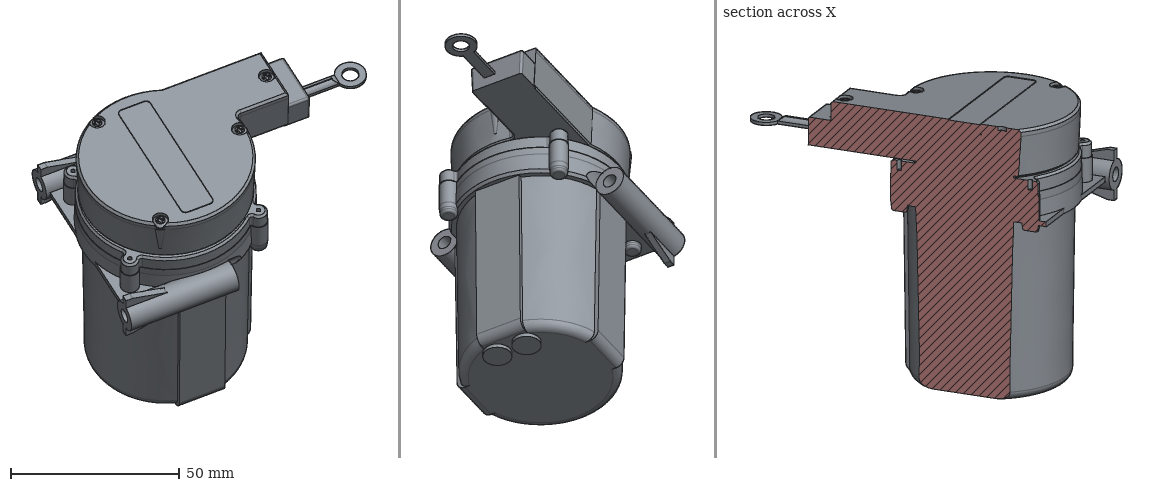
import cadquery as cq
import math


foot_height = 1.27
flange_bottom = 58.0
plate_thickness = 1.65
tube_axis_z = 59.0
flange_step_z = 64.7
cover_bottom = 67.3
cover_top = 71.95
housing_bottom = 72.45
lid_bottom = 85.4
housing_top = 87.45

can_top_radius = 50.09 / 2
can_bottom_radius = 24.3
can_fillet = 2.8
pad_half_width = 7.55
pad_proud = 0.1
foot_diameter = 8.71
foot_x = 5.05
foot_y = 16.6

flange_bottom_radius = 27.3
flange_radius = 27.05
flange_chamfer_height = 0.95
flange_chamfer_width = 0.8
cover_radius = 26.9
cover_chamfer = 0.7
boss_x = 19.05
boss_reach = 28.575
boss_y = math.sqrt(boss_reach**2 - boss_x**2)
boss_points = [(x, y) for x in (-boss_x, boss_x) for y in (-boss_y, boss_y)]
boss_radius = 5.77 / 2
boss_tip_z = 55.8
boss_tip_shoulder_z = 57.4
boss_tip_radius = 5.38 / 2
boss_tip_end_radius = 2.55
boss_tip_fillet = 0.9
boss_cover_radius = 5.38 / 2
boss_blend = 0.8
boss_hole_diameter = 1.27
boss_hole_depth = 3.0

tube_diameter = 9.53
tube_hole_diameter = 4.32
tube_spacing = 66.67 - tube_diameter
tube_front_y = -27.8
tube_length = 35.65
clearance_length = 8.0
plate_front_y = -26.5
gusset_thickness = 2.1
gusset_height = 15.9
gusset_flat_length = 2.2
gusset_length = 14.6
gusset_sink = 0.35

housing_radius = 26.65
housing_bottom_radius = 26.05
housing_top_chamfer = 0.75
housing_bottom_chamfer = 0.45
neck_radius = 25.0
duct_left_x = -24.4
duct_right_x = -5.85
duct_end_y = 43.65
duct_corner_radius = 1.5
corner_search = 2.0
outlet_inset = 0.1
outlet_overlap = 1.0
outlet_end_y = 50.95
outlet_top = 81.4
outlet_fillet = 0.7
latch_width = 3.0
latch_length = 1.35
latch_depth = 0.6
label_length = 44.5
label_width = 10.4
label_corner_radius = 1.5
label_depth = 0.25

screw_circle_radius = 24.49
screw_angles = (90, 210, 330)
duct_screw_x = -15.05
duct_screw_y = 40.85
counterbore_diameter = 4.78
counterbore_depth = 1.7
head_radius = counterbore_diameter / 2
head_rim_height = 0.5
head_height = 1.2
head_top_radius = 2.85 / 2
cross_length = 2.26
cross_width = 0.79
cross_depth = 0.6
screw_boss_radius = 2.57
screw_boss_bottom_radius = 1.76
screw_boss_bottom_z = 76.0

lug_x = -12.72
lug_bottom = 75.75
lug_thickness = 1.0
lug_outer_diameter = 9.53
lug_hole_diameter = 5.08
lug_tip_y = tube_front_y + 100.01
lug_y = lug_tip_y - lug_outer_diameter / 2
barrel_width = 3.65
barrel_height = 2.25
barrel_slope_length = 1.8
seam_width = 0.2
seam_depth = 0.2


def cylinder(radius, bottom, top, x=0.0, y=0.0):
    return cq.Workplane("XY", origin=(x, y, bottom)).circle(radius).extrude(top - bottom)


def cone(bottom_radius, top_radius, bottom, top, x=0.0, y=0.0):
    solid = cq.Solid.makeCone(bottom_radius, top_radius, top - bottom, cq.Vector(x, y, bottom))
    return cq.Workplane(solid)


def block(x_range, y_range, z_range):
    size = [high - low for low, high in (x_range, y_range, z_range)]
    corner = (x_range[0], y_range[0], z_range[0])
    return cq.Workplane("XY", origin=corner).box(*size, centered=False)


def can_half_profile(plane, grow=0.0):
    """Half section of the drafted can, from the axis out to the wall, with a rounded bottom corner."""
    bottom_radius = can_bottom_radius + grow
    arc_center_z = foot_height + can_fillet
    diagonal = can_fillet * math.sqrt(0.5)
    arc_middle = (bottom_radius - can_fillet + diagonal, arc_center_z - diagonal)
    return (
        cq.Workplane(plane)
        .moveTo(0, foot_height)
        .lineTo(bottom_radius - can_fillet, foot_height)
        .threePointArc(arc_middle, (bottom_radius, arc_center_z))
        .lineTo(can_top_radius + grow, flange_bottom)
        .lineTo(0, flange_bottom)
        .close()
    )


def make_can():
    can = can_half_profile("XZ").revolve(360, (0, 0, 0), (0, 1, 0))
    pad = can_half_profile("XZ", pad_proud).extrude(pad_half_width, both=True)
    for angle in (0, 90, 180):
        can = can.union(pad.rotate((0, 0, 0), (0, 0, 1), angle))
    for x in (-foot_x, foot_x):
        can = can.union(cylinder(foot_diameter / 2, 0, foot_height, x, foot_y))
    return can


def make_flange():
    """Drafted flange whose lower edge is chamfered on the rear half and square on the front half."""
    chamfer_top = flange_bottom + flange_chamfer_height
    chamfer_radius = flange_bottom_radius - flange_chamfer_width
    flange = cone(flange_bottom_radius, flange_radius, flange_bottom, flange_step_z)
    rear_half = block(
        (-flange_bottom_radius, flange_bottom_radius),
        (0, flange_bottom_radius),
        (flange_bottom, chamfer_top),
    )
    chamfer_cone = cone(chamfer_radius, flange_bottom_radius, flange_bottom, chamfer_top)
    flange = flange.cut(rear_half.cut(chamfer_cone))
    flange = flange.union(cylinder(flange_radius, flange_step_z, cover_bottom))
    for x, y in boss_points:
        flange = flange.union(cylinder(boss_radius, chamfer_top, cover_bottom, x, y))
        shoulder = cone(boss_tip_radius, boss_radius, boss_tip_shoulder_z, chamfer_top, x, y)
        flange = flange.union(shoulder)
        tip = cone(boss_tip_end_radius, boss_tip_radius, boss_tip_z, boss_tip_shoulder_z, x, y)
        flange = flange.union(tip.faces("<Z").edges().fillet(boss_tip_fillet))
    return flange


def make_cover():
    """Round cover with four edge bosses blended into its wall and a chamfered upper rim."""
    cover = cylinder(cover_radius, cover_bottom, cover_top)
    for x, y in boss_points:
        cover = cover.union(cylinder(boss_cover_radius, cover_bottom, cover_top, x, y))
    cover = cover.edges("|Z").fillet(boss_blend)
    return cover.faces(">Z").edges().chamfer(cover_chamfer)


def cut_boss_holes(body):
    for x, y in boss_points:
        body = body.cut(cylinder(boss_hole_diameter / 2, cover_top - boss_hole_depth, cover_top, x, y))
    return body


def along_y(radius, x, start_y, length):
    axis_start = cq.Vector(x, start_y, tube_axis_z)
    return cq.Workplane(cq.Solid.makeCylinder(radius, length, axis_start, cq.Vector(0, 1, 0)))


def make_gusset(x):
    """Thin upright rib above and below the tube, tapering back into the tube wall."""
    half_height = gusset_height / 2
    flat_end_y = tube_front_y + gusset_flat_length
    back_y = tube_front_y + gusset_length
    back_half_height = tube_diameter / 2 - gusset_sink
    outline = [
        (tube_front_y, tube_axis_z + half_height),
        (flat_end_y, tube_axis_z + half_height),
        (back_y, tube_axis_z + back_half_height),
        (back_y, tube_axis_z - back_half_height),
        (flat_end_y, tube_axis_z - half_height),
        (tube_front_y, tube_axis_z - half_height),
    ]
    gusset = cq.Workplane("YZ", origin=(x, 0, 0)).polyline(outline).close()
    return gusset.extrude(gusset_thickness / 2, both=True)


def add_mount(body):
    tube_x = tube_spacing / 2
    plate_top = flange_bottom + plate_thickness
    body = body.union(block((-tube_x, tube_x), (plate_front_y, 0), (flange_bottom, plate_top)))
    for x in (-tube_x, tube_x):
        clearance = along_y(tube_diameter / 2, x, tube_front_y + tube_length, clearance_length)
        body = body.cut(clearance)
        body = body.union(along_y(tube_diameter / 2, x, tube_front_y, tube_length))
        body = body.union(make_gusset(x))
        body = body.cut(along_y(tube_hole_diameter / 2, x, tube_front_y, tube_length))
    return body


def duct_solid(inset, start_y, end_y, top):
    """Duct length whose side walls lean inward below the lid, with the same draft as the round wall."""
    left = duct_left_x + inset
    right = duct_right_x - inset
    draft = housing_radius - housing_bottom_radius
    outline = [(left + draft, housing_bottom), (left, lid_bottom), (left, housing_top)]
    outline += [(right, housing_top), (right, lid_bottom), (right - draft, housing_bottom)]
    duct = cq.Workplane("XZ", origin=(0, start_y, 0)).polyline(outline).close().extrude(start_y - end_y)
    return duct.intersect(block((left, right), (start_y, end_y), (housing_bottom, top)))


def make_housing():
    round_shell = cone(housing_bottom_radius, housing_radius, housing_bottom, lid_bottom)
    round_lid = cylinder(housing_radius, lid_bottom, housing_top)
    housing = round_shell.union(round_lid).union(duct_solid(0, 0, duct_end_y, housing_top))
    corner_y = math.sqrt(housing_radius**2 - duct_right_x**2)
    corner = cq.selectors.BoxSelector(
        (duct_right_x - corner_search, corner_y - corner_search, housing_bottom),
        (duct_right_x + corner_search, corner_y + corner_search, housing_top),
    )
    housing = housing.edges("not #Z").edges(corner).fillet(duct_corner_radius)
    housing = housing.faces(">Z").edges().chamfer(housing_top_chamfer)
    housing = housing.faces("<Z").edges().chamfer(housing_bottom_chamfer)
    return housing.union(cylinder(neck_radius, cover_top, housing_bottom))


def make_outlet():
    outlet = duct_solid(outlet_inset, duct_end_y - outlet_overlap, outlet_end_y, outlet_top)
    outlet = outlet.edges(">Y or >Z").edges("not <Y").edges("not <Z").fillet(outlet_fillet)
    latch = block(
        (duct_screw_x - latch_width / 2, duct_screw_x + latch_width / 2),
        (duct_end_y, duct_end_y + latch_length),
        (outlet_top - latch_depth, outlet_top),
    )
    return outlet.cut(latch)


def screw_head(x, y):
    """Recessed screw head: a short rim, a sloped shoulder and a cross recess."""
    base_z = housing_top - counterbore_depth
    rim_z = base_z + head_rim_height
    top_z = base_z + head_height
    head = cylinder(head_radius, base_z, rim_z, x, y)
    head = head.union(cone(head_radius, head_top_radius, rim_z, top_z, x, y))
    cross_plane = cq.Workplane("XY", origin=(x, y, top_z))
    for size in ((cross_length, cross_width), (cross_width, cross_length)):
        head = head.cut(cross_plane.rect(*size).extrude(-cross_depth))
    return head


def add_screws(housing):
    rim_points = []
    for angle in screw_angles:
        x = screw_circle_radius * math.cos(math.radians(angle))
        y = screw_circle_radius * math.sin(math.radians(angle))
        rim_points.append((x, y))
        boss = cone(screw_boss_bottom_radius, screw_boss_radius, screw_boss_bottom_z, lid_bottom, x, y)
        housing = housing.union(boss)
    for x, y in rim_points + [(duct_screw_x, duct_screw_y)]:
        floor_z = housing_top - counterbore_depth
        housing = housing.cut(cylinder(counterbore_diameter / 2, floor_z, housing_top, x, y))
        housing = housing.union(screw_head(x, y))
    return housing


def cut_label(housing):
    label = cq.Workplane("XY", origin=(0, 0, housing_top)).rect(label_length, label_width)
    label = label.extrude(-label_depth)
    return housing.cut(label.edges("|Z").fillet(label_corner_radius))


def make_ground_lug():
    """Ring terminal with a half-round crimp barrel that runs into the outlet."""
    ring_top = lug_bottom + lug_thickness
    lug = cylinder(lug_outer_diameter / 2, lug_bottom, ring_top, lug_x, lug_y)
    barrel_end_y = lug_y - math.sqrt((lug_outer_diameter / 2) ** 2 - (barrel_width / 2) ** 2)
    half_width = barrel_width / 2
    barrel_top = lug_bottom + barrel_height
    barrel = (
        cq.Workplane("XZ", origin=(lug_x, barrel_end_y, 0))
        .moveTo(-half_width, lug_bottom)
        .lineTo(-half_width, ring_top)
        .threePointArc((0, barrel_top), (half_width, ring_top))
        .lineTo(half_width, lug_bottom)
        .close()
        .extrude(barrel_end_y - outlet_end_y + outlet_overlap)
    )
    seam = (
        cq.Workplane("XZ", origin=(lug_x, barrel_end_y, 0))
        .polyline([(-seam_width / 2, barrel_top), (seam_width / 2, barrel_top), (0, barrel_top - seam_depth)])
        .close()
        .extrude(barrel_end_y - outlet_end_y)
    )
    slope = (
        cq.Workplane("YZ", origin=(lug_x, 0, 0))
        .polyline(
            [
                (barrel_end_y - barrel_slope_length, barrel_top),
                (barrel_end_y, barrel_top),
                (barrel_end_y, ring_top),
            ]
        )
        .close()
        .extrude(barrel_width, both=True)
    )
    bridge = block(
        (lug_x - half_width, lug_x + half_width),
        (barrel_end_y - barrel_slope_length, lug_y),
        (lug_bottom, ring_top),
    )
    lug = lug.union(barrel.cut(seam).cut(slope)).union(bridge)
    return lug.cut(cylinder(lug_hole_diameter / 2, lug_bottom, ring_top, lug_x, lug_y))


base = add_mount(make_can().union(make_flange())).union(make_cover())
blower = add_screws(cut_label(make_housing().union(make_outlet())))
result = cut_boss_holes(base).union(blower).union(make_ground_lug())